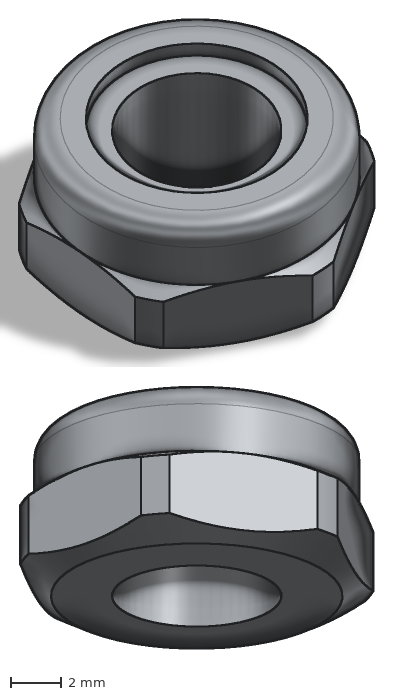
import cadquery as cq
import math

height = 6.76
corner_diameter = 14.38
across_flats = 13.0
hex_sides = 6

hex_height = 3.7
bevel_angle = math.radians(30)
bottom_face_diameter = 11.62

collar_diameter = 12.99
collar_fillet = 1.05
recess_diameter = 8.83
recess_depth = 0.65
bore_diameter = 6.75


def bevelled_blank():
    """Revolved envelope that trims the hexagon's corners."""
    corner_radius = corner_diameter / 2
    bottom_radius = bottom_face_diameter / 2
    top_radius = across_flats / 2
    bottom_bevel = (corner_radius - bottom_radius) * math.tan(bevel_angle)
    top_bevel = (corner_radius - top_radius) * math.tan(bevel_angle)
    profile = [
        (0, 0),
        (bottom_radius, 0),
        (corner_radius, bottom_bevel),
        (corner_radius, hex_height - top_bevel),
        (top_radius, hex_height),
        (0, hex_height),
    ]
    return cq.Workplane("XZ").polyline(profile).close().revolve(360, (0, 0), (0, 1))


def hex_base():
    """Hexagon with corners on the X axis and two flats facing +Y and -Y."""
    sharp_corner_diameter = across_flats / math.cos(math.pi / hex_sides)
    prism = cq.Workplane("XY").polygon(hex_sides, sharp_corner_diameter).extrude(hex_height)
    return prism.intersect(bevelled_blank())


def collar():
    """Cylinder above the hexagon with a rounded top edge."""
    cylinder = (
        cq.Workplane("XY")
        .workplane(offset=hex_height)
        .circle(collar_diameter / 2)
        .extrude(height - hex_height)
    )
    return cylinder.faces(">Z").edges().fillet(collar_fillet)


def opening():
    """Through bore with a shallow wider recess at the top."""
    bore = cq.Workplane("XY").circle(bore_diameter / 2).extrude(height)
    recess = (
        cq.Workplane("XY")
        .workplane(offset=height - recess_depth)
        .circle(recess_diameter / 2)
        .extrude(recess_depth)
    )
    return bore.union(recess)


result = hex_base().union(collar()).cut(opening())